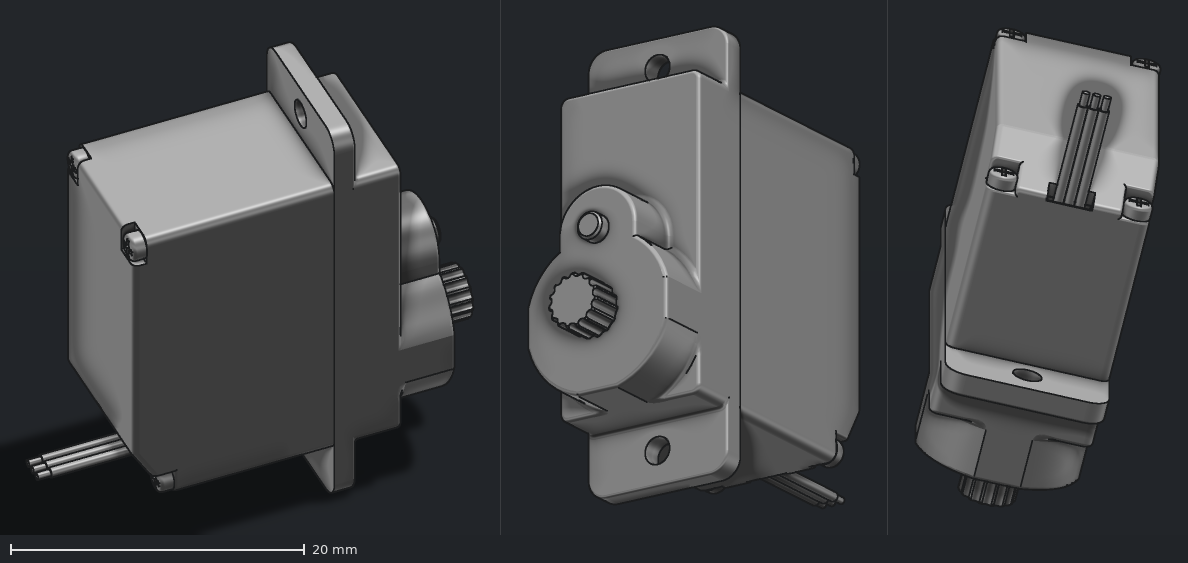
import cadquery as cq

case_width = 11.47
case_bottom = -11.57
case_top = 11.9
case_mid_z = (case_top + case_bottom) / 2
case_corner_r = 0.68
case_front_y = 5.02
case_front_edge_r = 0.3
case_back_y = -14.95
case_back_edge_r = 0.5
slope_start_z = -7.13
slope_end_y = -12.28

flange_height = 32.4
flange_thickness = 1.6
flange_corner_r = 1.5
flange_edge_r = 0.2
flange_root_r = 0.3
flange_hole_d = 2.0
flange_hole_spacing = 27.6

boss_top_y = 9.05
shaft_z = -5.85
shaft_round_r = 5.93
pin_z = 0.15
pin_round_r = 3.18
boss_edge_r = 0.3
boss_root_r = 0.45
pin_d = 2.0
pin_length = 1.05
pin_chamfer = 0.2

gear_d = 4.02
gear_tip_y = 12.05
gear_teeth = 15
flute_r = 0.32
gear_tip_chamfer = 0.15
gear_base_chamfer = 0.42

head_d = 2.0
head_height = 1.0
head_edge_r = 0.3
cross_length = 1.35
cross_width = 0.3
cross_depth = 0.3
upper_recess_size = 2.07
upper_floor_y = case_back_y + head_height
upper_screw_z = 10.82
upper_screw_xs = (-4.65, 4.8)
lower_recess_size = 2.0
lower_floor_y = -11.9
lower_recess_rim_r = 0.23
lower_screw_z = -10.55
lower_screw_xs = (-4.73, 4.73)

wire_d = 0.7
wire_pitch = 0.75
wire_x = 0.05
wire_z = -10.98
wire_end_y = -19.0
core_d = 0.52
core_end_y = -19.95
wire_count = 3
notch_width = 3.2
notch_top_z = -10.6
notch_y = -11.9
slot_inset = 0.1
slot_bottom_z = -11.4
slot_floor_y = -11.5

margin = 0.03


def sketch_at(y):
    """Workplane facing -Y at the given y, with local axes along X and Z."""
    return cq.Workplane("XZ", origin=(0, y, 0))


def block(x_range, y_range, z_range):
    """Axis-aligned block given by its limits."""
    (x0, x1), (y0, y1), (z0, z1) = x_range, y_range, z_range
    return cq.Workplane("XY").box(x1 - x0, y1 - y0, z1 - z0, centered=False).translate((x0, y0, z0))


def rod(x, z, diameter, y_from, y_to):
    """Round bar along Y."""
    return sketch_at(y_from).center(x, z).circle(diameter / 2).extrude(y_from - y_to)


def case_prism(y_from, y_to):
    """Length of the case outline with its four rounded long edges."""
    return (
        sketch_at(y_from)
        .center(0, case_mid_z)
        .rect(case_width, case_top - case_bottom)
        .extrude(y_from - y_to)
        .edges("|Y")
        .fillet(case_corner_r)
    )


def edges_in_plane(y, x_reach, z_range):
    """Selector for edges lying at the given y with their centers within the given reach."""
    tolerance = 0.003
    z0, z1 = z_range
    in_plane = cq.selectors.BoxSelector(
        (-case_width, y - tolerance, -flange_height),
        (case_width, y + tolerance, flange_height),
        boundingbox=True,
    )
    centered_near = cq.selectors.BoxSelector((-x_reach, y - tolerance, z0), (x_reach, y + tolerance, z1))
    return cq.selectors.AndSelector(in_plane, centered_near)


def make_boss():
    """Gear boss, kept within the case outline and rounded along its top edge."""
    shaft_round = rod(0, shaft_z, 2 * shaft_round_r, case_front_y, boss_top_y)
    pin_round = rod(0, pin_z, 2 * pin_round_r, case_front_y, boss_top_y)
    bridge = block((-pin_round_r, pin_round_r), (case_front_y, boss_top_y), (shaft_z, pin_z))
    boss = shaft_round.union(pin_round).union(bridge)
    boss = boss.intersect(case_prism(case_front_y, boss_top_y))
    return boss.faces(">Y").edges().fillet(boss_edge_r)


def make_flange():
    """Mounting plate with two screw holes and rounded front edges."""
    flange = (
        sketch_at(flange_thickness)
        .rect(case_width, flange_height)
        .extrude(flange_thickness)
        .edges("|Y")
        .fillet(flange_corner_r)
        .faces(">Y")
        .edges()
        .fillet(flange_edge_r)
    )
    holes = (
        sketch_at(flange_thickness)
        .center(0, case_mid_z)
        .rarray(0.32, flange_hole_spacing, 1, 2)
        .circle(flange_hole_d / 2)
        .extrude(flange_thickness)
    )
    return flange.cut(holes)


def make_front_case():
    """Front case with its flange, gear boss and a short pin on the boss."""
    case = case_prism(0, case_front_y).union(make_boss())
    front_edges = edges_in_plane(case_front_y, case_width, (case_bottom - margin, case_top + margin))
    upper_root = edges_in_plane(case_front_y, case_width / 2 - margin, (shaft_z, pin_z + pin_round_r + margin))
    case = case.edges(front_edges - upper_root).fillet(case_front_edge_r)
    case = case.edges(upper_root).fillet(boss_root_r)

    case = case.union(make_flange())
    root_half = case_width / 2 - flange_edge_r + margin
    for z in (case_bottom, case_top):
        root = edges_in_plane(flange_thickness, root_half, (z - case_corner_r, z + case_corner_r))
        case = case.edges(root).fillet(flange_root_r)

    pin = rod(0, pin_z, pin_d, boss_top_y, boss_top_y + pin_length).faces(">Y").chamfer(pin_chamfer)
    return case.union(pin)


def make_rear_shell():
    """Rear case outline with the sloped lower back, rounded along its edges."""
    profile = [
        (0, case_bottom),
        (slope_end_y, case_bottom),
        (case_back_y, slope_start_z),
        (case_back_y, case_top),
        (0, case_top),
    ]
    shell = cq.Workplane("YZ").polyline(profile).close().extrude(case_width / 2, both=True)
    shell = shell.edges("|Y").fillet(case_corner_r)
    shell = shell.faces("<Y").edges("<Z").fillet(case_back_edge_r)
    return shell.faces("<Y").edges().fillet(case_back_edge_r)


def make_screw(x, z, seat_y):
    """Screw head with a cross slot, resting on seat_y."""
    tip_y = seat_y - head_height
    head = rod(x, z, head_d, seat_y, tip_y).faces("<Y").edges().fillet(head_edge_r)
    for size in ((cross_length, cross_width), (cross_width, cross_length)):
        head = head.cut(sketch_at(tip_y).center(x, z).rect(*size).extrude(-cross_depth))
    return head


def cut_corner_recess(case, side, size, z_range, floor_y):
    """Cut a screw recess into the corner on the given side, -1 or 1."""
    x_range = sorted((side * (case_width / 2 - size), side * case_width))
    return case.cut(block(x_range, (2 * case_back_y, floor_y), z_range))


def round_recess_rim(case, side):
    """Round the lower recess where its walls and floor meet the outside of the case."""
    inner_x = side * (case_width / 2 - lower_recess_size - margin)
    side_x = side * case_width / 2
    top_z = case_bottom + lower_recess_size + margin
    recess = cq.selectors.BoxSelector(
        (inner_x, case_back_y, case_bottom - margin),
        (side_x + side * margin, lower_floor_y + margin, top_z),
        boundingbox=True,
    )
    floor = edges_in_plane(lower_floor_y, case_width, (case_bottom - margin, top_z))
    floor_side = cq.selectors.BoxSelector(
        (side_x - side * margin, lower_floor_y - margin, case_bottom),
        (side_x + side * margin, lower_floor_y + margin, top_z),
        boundingbox=True,
    )
    inner_corner = cq.selectors.ParallelDirSelector(cq.Vector(0, 1, 0))
    return case.edges(recess - floor - inner_corner + floor_side).fillet(lower_recess_rim_r)


def cut_wire_pocket(case):
    """Cut the wire exit: a shallow notch open to the underside, with a deeper slot in its face."""
    left = wire_x - notch_width / 2
    right = wire_x + notch_width / 2
    notch = block((left, right), (2 * case_back_y, notch_y), (2 * case_bottom, notch_top_z))
    slot = block(
        (left + slot_inset, right - slot_inset),
        (notch_y, slot_floor_y),
        (slot_bottom_z, notch_top_z - slot_inset),
    )
    return case.cut(notch).cut(slot)


def make_wire(x):
    """One insulated wire with its bare core sticking out of the end."""
    insulation = rod(x, wire_z, wire_d, slot_floor_y, wire_end_y)
    return insulation.union(rod(x, wire_z, core_d, wire_end_y, core_end_y))


def make_rear_case():
    """Rear case with its screw recesses and the wires fixed in their pocket."""
    case = make_rear_shell()
    upper_z_range = (case_top - upper_recess_size, 2 * case_top)
    lower_z_range = (2 * case_bottom, case_bottom + lower_recess_size)
    for side in (-1, 1):
        case = cut_corner_recess(case, side, upper_recess_size, upper_z_range, upper_floor_y)
        case = cut_corner_recess(case, side, lower_recess_size, lower_z_range, lower_floor_y)
        case = round_recess_rim(case, side)
    case = cut_wire_pocket(case)
    for i in range(wire_count):
        case = case.union(make_wire(wire_x + (i - (wire_count - 1) / 2) * wire_pitch))
    return case


def make_gear():
    """Splined output gear standing on the boss, with a land between flutes at the top (+Z)."""
    gear = rod(0, shaft_z, gear_d, boss_top_y, gear_tip_y)
    gear = gear.faces(">Y").chamfer(gear_tip_chamfer).faces("<Y").chamfer(gear_base_chamfer)
    first_flute_angle = 90 + 180 / gear_teeth
    flutes = (
        sketch_at(gear_tip_y)
        .center(0, shaft_z)
        .polarArray(gear_d / 2, first_flute_angle, 360, gear_teeth)
        .circle(flute_r)
        .extrude(gear_tip_y - boss_top_y)
    )
    return gear.cut(flutes)


front_case = make_front_case()
rear_case = make_rear_case()
gear = make_gear()
screws = [make_screw(x, upper_screw_z, upper_floor_y) for x in upper_screw_xs]
screws += [make_screw(x, lower_screw_z, lower_floor_y) for x in lower_screw_xs]

result = cq.Compound.makeCompound(
    [front_case.val(), rear_case.val(), gear.val(), *[screw.val() for screw in screws]]
)